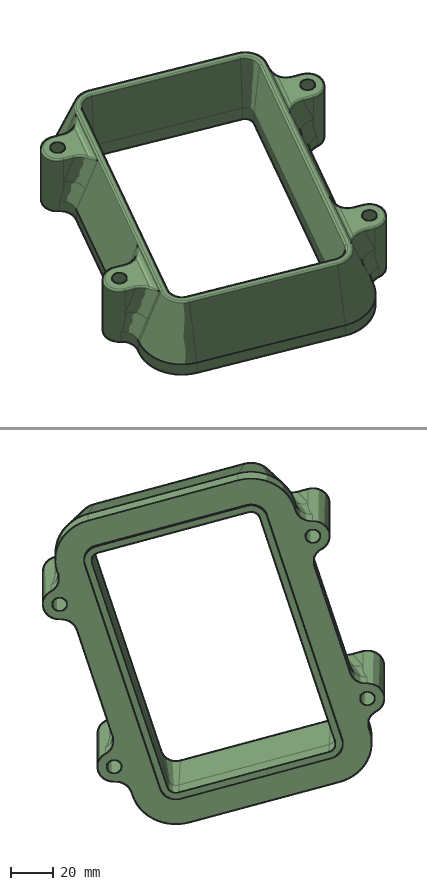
import cadquery as cq
import math

LENGTH = 167.0
WIDTH = 117.5
HEIGHT = 40.0
CORNER_RADIUS = 21.5

LIP_HEIGHT = 1.0
LIP_INSET = 13.7

SKIRT_TOP = 8.2
OUTER_DRAFT = math.radians(19)

OPENING_INSET = 17.2
RIM_OPENING_INSET = 14.4

WIDTH_OVER_LUGS = 141.5
LUG_SPACING = 89.8
LUG_RADIUS = 8.0
LUG_TOP = 36.7
LUG_HOLE_DIAMETER = 7.0

LUG_SIDE_BLEND = 7.8
LUG_TOP_BLEND = 3.0
EDGE_FILLET = 1.0

WALL_OVERLAP = 1.7

LUG_X = LUG_SPACING / 2
LUG_Y = WIDTH_OVER_LUGS / 2 - LUG_RADIUS
DRAFT_SLOPE = math.tan(OUTER_DRAFT)
FLARE_ANGLE = math.atan((OPENING_INSET - RIM_OPENING_INSET) / (HEIGHT - SKIRT_TOP))


def wall_y(z):
    """Outer face of the long wall at height z."""
    return WIDTH / 2 - max(z - SKIRT_TOP, 0) * DRAFT_SLOPE


def rounded_prism(inset, bottom, top, draft=0):
    """Rounded rectangle set in from the frame outline; positive draft narrows it upwards."""
    outline = cq.Sketch().rect(LENGTH - 2 * inset, WIDTH - 2 * inset)
    outline = outline.vertices().fillet(CORNER_RADIUS - inset)
    base = cq.Workplane("XY", origin=(0, 0, bottom))
    return base.placeSketch(outline).extrude(top - bottom, taper=math.degrees(draft))


def outer_body():
    skirt = rounded_prism(0, LIP_HEIGHT, SKIRT_TOP)
    drafted_wall = rounded_prism(0, SKIRT_TOP, HEIGHT, OUTER_DRAFT)
    return skirt.union(drafted_wall)


def opening():
    upright = rounded_prism(OPENING_INSET, 0, SKIRT_TOP)
    flare = rounded_prism(OPENING_INSET, SKIRT_TOP, HEIGHT, -FLARE_ANGLE)
    return upright.union(flare)


def lug_core():
    """Round-ended block reaching from the lug hole into the wall."""
    arm_start = wall_y(HEIGHT) - WALL_OVERLAP
    return (
        cq.Workplane("XY", origin=(0, 0, LIP_HEIGHT))
        .moveTo(-LUG_RADIUS, arm_start)
        .lineTo(LUG_RADIUS, arm_start)
        .lineTo(LUG_RADIUS, LUG_Y)
        .threePointArc((0, LUG_Y + LUG_RADIUS), (-LUG_RADIUS, LUG_Y))
        .close()
        .extrude(HEIGHT - LIP_HEIGHT)
    )


def blend_depth(z):
    """Blend radius measured along Y: a level cut through the leaning blend stretches it."""
    return LUG_SIDE_BLEND / math.cos(OUTER_DRAFT) if z > SKIRT_TOP else LUG_SIDE_BLEND


def side_blend_outline(z):
    """Plan outline at height z of the concave blend from the wall to the +X side of the lug."""
    wall = wall_y(z)
    depth = blend_depth(z)
    center_y = wall + depth
    reach = LUG_RADIUS + LUG_SIDE_BLEND
    lug_angle = math.asin(max(center_y - LUG_Y, 0) / reach)
    center_x = reach * math.cos(lug_angle)
    touch_x = center_x - LUG_SIDE_BLEND * math.cos(lug_angle)
    touch_y = center_y - depth * math.sin(lug_angle)
    return (
        cq.Workplane("XY", origin=(0, 0, z))
        .moveTo(0, touch_y)
        .lineTo(touch_x, touch_y)
        .ellipseArc(LUG_SIDE_BLEND, depth, 180 + math.degrees(lug_angle), 270)
        .lineTo(center_x, wall - WALL_OVERLAP)
        .lineTo(0, wall - WALL_OVERLAP)
        .close()
        .val()
    )


def side_blend():
    """Blend along the skirt, then up the drafted wall: round end of the lug first, flat side above."""
    flat_side_start = SKIRT_TOP + (WIDTH / 2 + blend_depth(HEIGHT) - LUG_Y) / DRAFT_SLOPE
    levels = [LIP_HEIGHT, SKIRT_TOP, flat_side_start, HEIGHT]
    blend = cq.Workplane("XY")
    for bottom, top in zip(levels, levels[1:]):
        outlines = [side_blend_outline(bottom), side_blend_outline(top)]
        blend = blend.add(cq.Solid.makeLoft(outlines, True))
    return blend.combine()


def above_lug():
    """Space over the lug: flat, then curving up concavely until it is tangent to the wall."""
    tangent_length = LUG_TOP_BLEND * math.tan((math.pi / 2 - OUTER_DRAFT) / 2)
    foot_y = wall_y(LUG_TOP)
    curve_top = (
        foot_y - tangent_length * math.sin(OUTER_DRAFT),
        LUG_TOP + tangent_length * math.cos(OUTER_DRAFT),
    )
    clear_height = 2 * HEIGHT
    return (
        cq.Workplane("YZ")
        .moveTo(wall_y(clear_height), clear_height)
        .lineTo(*curve_top)
        .tangentArcPoint((foot_y + tangent_length, LUG_TOP), relative=False)
        .lineTo(WIDTH_OVER_LUGS, LUG_TOP)
        .lineTo(WIDTH_OVER_LUGS, clear_height)
        .close()
        .extrude(LUG_SPACING / 2, both=True)
    )


def lug():
    """Lug on the +Y side, centered on X = 0."""
    blend = side_blend()
    blank = lug_core().union(blend).union(blend.mirror("YZ"))
    trimmed = blank.cut(above_lug())
    round_end = trimmed.faces(cq.selectors.NearestToPointSelector((0, LUG_Y, LUG_TOP))).edges(">Y")
    return round_end.fillet(EDGE_FILLET)


back_lug = lug()
front_lug = back_lug.mirror("XZ")
body = outer_body()
for x in (-LUG_X, LUG_X):
    body = body.union(back_lug.translate((x, 0, 0)))
    body = body.union(front_lug.translate((x, 0, 0)))

body = body.union(rounded_prism(LIP_INSET, 0, SKIRT_TOP)).cut(opening())
body = body.faces(">Z").edges().fillet(EDGE_FILLET)

lug_centers = [(x, y) for x in (-LUG_X, LUG_X) for y in (-LUG_Y, LUG_Y)]
holes = cq.Workplane("XY").pushPoints(lug_centers).circle(LUG_HOLE_DIAMETER / 2).extrude(HEIGHT)

result = body.cut(holes)